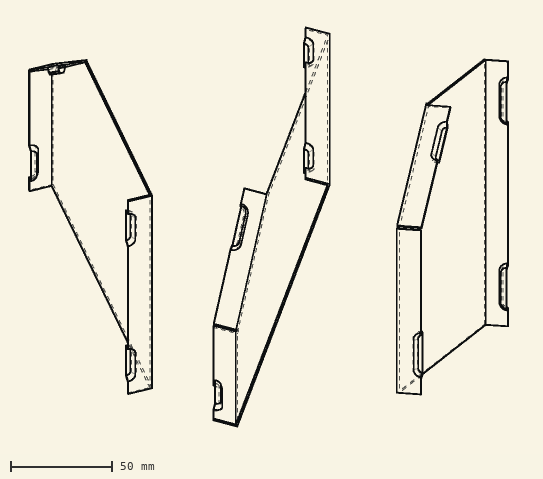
import cadquery as cq
import math

width = 150.0
depth = 12.5
height = 134.0
thickness = 1.0
corner_cut = 50.2

left_flange_height = 83.0
bend_tip_rise = 0.8
sloped_start_x = 0.8

emboss_depth = 2.7
emboss_straight = 14.8
emboss_mouth_radius = 3.8
emboss_floor_radius = 2.1
emboss_wall_offset = 0.8
emboss_end_distance = 20.0

left_x = -width / 2
right_x = width / 2
back_y = depth / 2
front_y = -depth / 2
bottom_z = -(height + bend_tip_rise) / 2
top_z = bottom_z + height
cut_bottom_z = top_z - corner_cut
slope = math.sqrt(0.5)


def box(x_size, y_size, z_size, corner):
    return cq.Workplane("XY").box(x_size, y_size, z_size, centered=False).translate(corner)


def sloped_strip(start_x, end_x, y_size, y_start):
    """Sheet strip along the 45 degree cut, with both ends square to it."""
    start = (left_x + start_x, cut_bottom_z + start_x)
    end = (left_x + end_x, cut_bottom_z + end_x)
    inset = thickness * slope
    return (
        cq.Workplane("XZ", origin=(0, y_start + y_size, 0))
        .polyline([start, end, (end[0] + inset, end[1] - inset), (start[0] + inset, start[1] - inset)])
        .close()
        .extrude(y_size)
    )


def tapered_slot(plane, mouth_radius, floor_radius):
    """Slot with sloping walls, narrowing from its mouth to its floor."""
    return (
        plane.slot2D(emboss_straight + 2 * mouth_radius, 2 * mouth_radius)
        .workplane(offset=emboss_depth)
        .slot2D(emboss_straight + 2 * floor_radius, 2 * floor_radius)
        .loft(ruled=True)
    )


def add_emboss(body, edge_x, edge_z, along, inward):
    """Press half a tapered slot into a flange; the point is on its outer free edge."""
    normal = cq.Vector(*inward)
    outer = cq.Vector(edge_x, front_y, edge_z)
    inner = outer + normal * thickness
    hollow = tapered_slot(
        cq.Workplane(cq.Plane(outer, along, normal)), emboss_mouth_radius, emboss_floor_radius
    )
    raised = tapered_slot(
        cq.Workplane(cq.Plane(inner, along, normal)),
        emboss_mouth_radius + emboss_wall_offset,
        emboss_floor_radius + emboss_wall_offset,
    )
    keep = box(width, depth, height, (left_x, front_y, bottom_z))
    return body.union(raised.intersect(keep)).cut(hollow)


relief_z = bottom_z + left_flange_height
sloped_end_inset = thickness * slope
relief_x = left_x + sloped_start_x + sloped_end_inset
plate = (
    cq.Workplane("XZ", origin=(0, back_y, 0))
    .polyline([
        (left_x, bottom_z),
        (right_x, bottom_z),
        (right_x, top_z),
        (left_x + corner_cut, top_z),
        (left_x + sloped_start_x, cut_bottom_z + sloped_start_x),
        (relief_x, cut_bottom_z + sloped_start_x - sloped_end_inset),
        (relief_x, relief_z),
        (left_x, relief_z),
    ])
    .close()
    .extrude(thickness)
)

left_flange = box(thickness, depth, left_flange_height, (left_x, front_y, bottom_z))
right_flange = box(thickness, depth, height, (right_x - thickness, front_y, bottom_z))
sloped_flange = sloped_strip(sloped_start_x, corner_cut, depth, front_y)
sloped_bend = sloped_strip(sloped_start_x, corner_cut + bend_tip_rise, thickness, back_y - thickness)
panel = plate.union(left_flange).union(right_flange).union(sloped_flange).union(sloped_bend)

low_z = bottom_z + emboss_end_distance
high_z = top_z - emboss_end_distance
panel = add_emboss(panel, left_x, low_z, (0, 0, 1), (1, 0, 0))
for emboss_z in (low_z, high_z):
    panel = add_emboss(panel, right_x, emboss_z, (0, 0, 1), (-1, 0, 0))
sloped_run = corner_cut - emboss_end_distance * slope
panel = add_emboss(
    panel, left_x + sloped_run, cut_bottom_z + sloped_run, (slope, 0, slope), (slope, 0, -slope)
)

result = panel